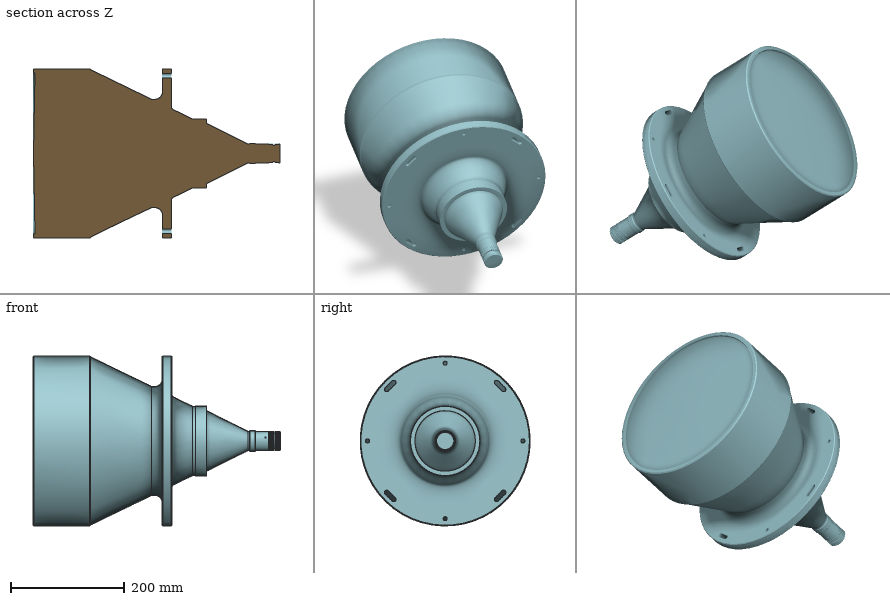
import cadquery as cq
import math

TOTAL_LENGTH = 437.0
DRUM_DIAMETER = 300.0
DRUM_RADIUS = DRUM_DIAMETER / 2
EDGE_CHAMFER = 1.7

DRUM_LENGTH = 101.8
WINDOW_RADIUS = 142.5
WINDOW_TAPER = 1.0
WINDOW_RIM_DEPTH = 3.0
WINDOW_CENTER_DEPTH = 0.5

WAIST_START = 209.2
WAIST_RADIUS = 96.0

FLANGE_FRONT = 228.0
FLANGE_THICKNESS = 17.0
FLANGE_CHAMFER = 1.5
FRONT_FILLET = 12.5
REAR_FILLET = 4.5
BOLT_CIRCLE_RADIUS = 137.0
BOLT_COUNT = 4
HOLE_DIAMETER = 7.0
SLOT_LENGTH = 25.5
SLOT_WIDTH = 8.0

MIDDLE_CONE_ANGLE = math.radians(26)
BAND_START = 281.8
BAND_STEP = 287.0
BAND_END = 306.5
BAND_RADIUS = 61.0
BAND_RISE = 0.5

REAR_CONE_ANGLE = math.radians(26.6)
NECK_START = 379.0
NECK_RADIUS = 17.0

COLLAR_START = 382.0
COLLAR_END = 393.0
COLLAR_RADIUS = 18.5
COLLAR_CHAMFER = 1.5

KNURL_START = 416.0
RING_GROOVE_START = 424.0
RING_GROOVE_WIDTH = 2.5
RING_GROOVE_DEPTH = 2.5
KNURL_END = 433.8
TIP_CHAMFER = 1.7
KNURL_COUNT = 30
KNURL_WIDTH = 1.5
KNURL_DEPTH = 1.0

SCREW_X = 410.0
SCREW_DIAMETER = 2.0
SCREW_DEPTH = 2.5
SCREW_ANGLES = (22, -98)


def turned_body():
    flange_rear = FLANGE_FRONT + FLANGE_THICKNESS
    flange_shoulder = DRUM_RADIUS - FLANGE_CHAMFER
    rear_fillet_x = flange_rear + REAR_FILLET * (1 - math.sin(MIDDLE_CONE_ANGLE))
    rear_fillet_radius = BAND_RADIUS + math.tan(MIDDLE_CONE_ANGLE) * (BAND_START - rear_fillet_x)
    rear_fillet_top = rear_fillet_radius + REAR_FILLET * math.cos(MIDDLE_CONE_ANGLE)
    rear_cone_radius = NECK_RADIUS + math.tan(REAR_CONE_ANGLE) * (NECK_START - BAND_END)
    collar_shoulder = COLLAR_RADIUS - COLLAR_CHAMFER
    ring_groove_end = RING_GROOVE_START + RING_GROOVE_WIDTH
    ring_groove_radius = NECK_RADIUS - RING_GROOVE_DEPTH
    profile = (
        cq.Workplane("XY")
        .moveTo(WINDOW_CENTER_DEPTH, 0)
        .lineTo(WINDOW_RIM_DEPTH, WINDOW_RADIUS - WINDOW_TAPER)
        .lineTo(0, WINDOW_RADIUS)
        .lineTo(0, DRUM_RADIUS - EDGE_CHAMFER)
        .lineTo(EDGE_CHAMFER, DRUM_RADIUS)
        .lineTo(DRUM_LENGTH - EDGE_CHAMFER, DRUM_RADIUS)
        .lineTo(DRUM_LENGTH, DRUM_RADIUS - EDGE_CHAMFER)
        .lineTo(WAIST_START, WAIST_RADIUS)
        .lineTo(FLANGE_FRONT - FRONT_FILLET, WAIST_RADIUS)
        .tangentArcPoint((FRONT_FILLET, FRONT_FILLET))
        .lineTo(FLANGE_FRONT, flange_shoulder)
        .lineTo(FLANGE_FRONT + FLANGE_CHAMFER, DRUM_RADIUS)
        .lineTo(flange_rear - FLANGE_CHAMFER, DRUM_RADIUS)
        .lineTo(flange_rear, flange_shoulder)
        .lineTo(flange_rear, rear_fillet_top)
        .tangentArcPoint((rear_fillet_x, rear_fillet_radius), relative=False)
        .lineTo(BAND_START, BAND_RADIUS)
        .lineTo(BAND_STEP, BAND_RADIUS)
        .lineTo(BAND_STEP, BAND_RADIUS + BAND_RISE)
        .lineTo(BAND_END, BAND_RADIUS + BAND_RISE)
        .lineTo(BAND_END, rear_cone_radius)
        .lineTo(NECK_START, NECK_RADIUS)
        .lineTo(COLLAR_START, collar_shoulder)
        .lineTo(COLLAR_START + COLLAR_CHAMFER, COLLAR_RADIUS)
        .lineTo(COLLAR_END - COLLAR_CHAMFER, COLLAR_RADIUS)
        .lineTo(COLLAR_END, collar_shoulder)
        .lineTo(RING_GROOVE_START, NECK_RADIUS)
        .lineTo(RING_GROOVE_START, ring_groove_radius)
        .lineTo(ring_groove_end, ring_groove_radius)
        .lineTo(ring_groove_end, NECK_RADIUS)
        .lineTo(TOTAL_LENGTH - TIP_CHAMFER, NECK_RADIUS)
        .lineTo(TOTAL_LENGTH, NECK_RADIUS - TIP_CHAMFER)
        .lineTo(TOTAL_LENGTH, 0)
        .close()
    )
    return profile.revolve(360, (0, 0, 0), (1, 0, 0))


def flange_cuts():
    """Round holes on the Y and Z axes, with tangential slots midway between them."""
    pitch = 360 / BOLT_COUNT
    face = cq.Workplane("YZ", origin=(FLANGE_FRONT, 0, 0))
    holes = (
        face.polarArray(BOLT_CIRCLE_RADIUS, 0, 360, BOLT_COUNT)
        .circle(HOLE_DIAMETER / 2)
        .extrude(FLANGE_THICKNESS)
    )
    slots = (
        face.polarArray(BOLT_CIRCLE_RADIUS, pitch / 2, 360, BOLT_COUNT)
        .slot2D(SLOT_LENGTH, SLOT_WIDTH, 90)
        .extrude(FLANGE_THICKNESS)
    )
    return holes.union(slots)


def knurl_grooves():
    """Axial grooves spaced evenly around the knurled end."""
    return (
        cq.Workplane("YZ", origin=(KNURL_START, 0, 0))
        .polarArray(NECK_RADIUS, 0, 360, KNURL_COUNT)
        .rect(2 * KNURL_DEPTH, KNURL_WIDTH)
        .extrude(KNURL_END - KNURL_START)
    )


def screw_hole(angle):
    """Blind radial hole in the neck, turned upward from -Y by the given angle."""
    return (
        cq.Workplane("XZ", origin=(SCREW_X, -NECK_RADIUS, 0))
        .circle(SCREW_DIAMETER / 2)
        .extrude(-SCREW_DEPTH)
        .rotate((0, 0, 0), (1, 0, 0), -angle)
    )


result = turned_body().cut(flange_cuts()).cut(knurl_grooves())
for screw_angle in SCREW_ANGLES:
    result = result.cut(screw_hole(screw_angle))